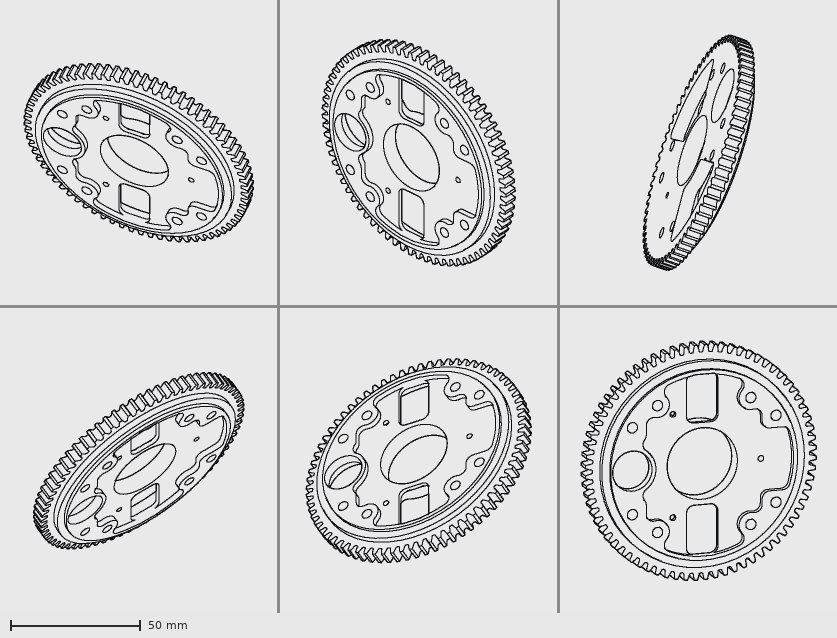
import cadquery as cq
import math

overall_width = 93.9
gear_thickness = 5.5
flange_thickness = 2.5
lip_thickness = 1.4
flange_radius = 41.2
lip_radius = 38.0

tooth_count = 72
pressure_angle = math.radians(14.5)
dedendum_in_modules = 1.2
root_fillet = 0.6
flank_steps = 3

bore_radius = 14.3
side_hole_x = -29.2
side_hole_radius = 8.0
slot_width = 12.8
slot_inner_z = 16.4
slot_corner_radius = 3.0
pin_circle_radius = 23.9
pin_hole_radius = 1.1
pin_count = 3
bolt_hole_radius = 2.1
inner_bolt = (19.0, 25.4)
outer_bolt = (29.2, 17.4)

pocket_radius = 36.35
pocket_depth = 2.35
pocket_corner_radius = 3.0
bolt_boss_radius = 4.8
side_hole_rim = 1.6
boss_wall_x = 23.6
boss_floor_z = 12.6
rim_corner_z = 10.2

back_depth = 5.4
hub_radius = slot_inner_z
rim_inner_radius = 39.6
rib_width = 5.1
back_corner_radius = 3.0
counterbore_radius = 10.9

total_thickness = gear_thickness + flange_thickness + lip_thickness
front_y = -total_thickness

half_pitch_angle = math.pi / tooth_count
base_to_pitch = math.cos(pressure_angle)
tip_to_pitch = (tooth_count + 2) / tooth_count


def involute_angle(radius_ratio):
    """Polar angle of an involute at a radius given as a multiple of its base radius."""
    roll = math.sqrt(radius_ratio**2 - 1)
    return roll - math.atan(roll)


def tooth_half_angle(radius_to_pitch):
    """Half the angle one tooth covers at a radius given as a multiple of the pitch radius."""
    ratio = max(radius_to_pitch / base_to_pitch, 1)
    return half_pitch_angle / 2 + involute_angle(1 / base_to_pitch) - involute_angle(ratio)


tip_corner_angle = half_pitch_angle - tooth_half_angle(tip_to_pitch)
tip_radius = overall_width / 2 / math.cos(tip_corner_angle)
pitch_radius = tip_radius / tip_to_pitch
module = 2 * pitch_radius / tooth_count
root_radius = pitch_radius - dedendum_in_modules * module
base_radius = pitch_radius * base_to_pitch


def polar(radius, angle):
    return (radius * math.cos(angle), radius * math.sin(angle))


def toward(start, end, distance):
    """Point at a distance from start in the direction of end."""
    length = math.dist(start, end)
    return tuple(s + (e - s) * distance / length for s, e in zip(start, end))


def arc_to(path, centre, start, end):
    """Add the shorter arc about centre from start to end."""
    radius = math.dist(centre, start)
    chord_middle = ((start[0] + end[0]) / 2, (start[1] + end[1]) / 2)
    return path.threePointArc(toward(centre, chord_middle, radius), end)


def extrude_back(path, y, depth):
    """Extrude an XZ outline from the plane at y toward +Y."""
    return path.extrude(-depth).translate((0, y, 0))


def disc(radius, y, depth, x=0, z=0):
    return extrude_back(cq.Workplane("XZ").center(x, z).circle(radius), y, depth)


def through_hole(radius, x=0, z=0):
    return disc(radius, front_y, total_thickness, x, z)


def gear_ring():
    fillet_reach = root_radius + root_fillet
    centre_distance = math.sqrt(fillet_reach**2 - base_radius**2)
    start_distance = centre_distance - root_fillet
    flank_start = math.hypot(base_radius, start_distance)
    fillet_angle = math.atan(centre_distance / base_radius) - math.atan(start_distance / base_radius)
    start_half_angle = tooth_half_angle(flank_start / pitch_radius)
    flank_radii = [
        flank_start + (tip_radius - flank_start) * step / flank_steps for step in range(flank_steps + 1)
    ]
    first_floor_angle = half_pitch_angle - start_half_angle - fillet_angle
    path = cq.Workplane("XZ").moveTo(*polar(root_radius, first_floor_angle))
    for tooth in range(tooth_count):
        middle = (2 * tooth + 1) * half_pitch_angle
        rising = [polar(r, middle - tooth_half_angle(r / pitch_radius)) for r in flank_radii]
        falling = [polar(r, middle + tooth_half_angle(r / pitch_radius)) for r in reversed(flank_radii)]
        floor_half_angle = start_half_angle + fillet_angle
        next_gap = middle + half_pitch_angle
        rising_fillet = polar(fillet_reach, middle - floor_half_angle)
        falling_fillet = polar(fillet_reach, middle + floor_half_angle)
        floor_start = polar(root_radius, middle + floor_half_angle)
        floor_end = polar(root_radius, next_gap + half_pitch_angle - floor_half_angle)

        path = arc_to(path, rising_fillet, polar(root_radius, middle - floor_half_angle), rising[0])
        path = path.spline(rising[1:], includeCurrent=True)
        path = path.threePointArc(polar(tip_radius, middle), falling[0])
        path = path.spline(falling[1:], includeCurrent=True)
        path = arc_to(path, falling_fillet, falling[-1], floor_start)
        path = path.threePointArc(polar(root_radius, next_gap), floor_end)
    return extrude_back(path.close(), -gear_thickness, gear_thickness)


def pocket():
    """Front pocket: the upper half of its outline, mirrored below the X axis."""
    r = pocket_corner_radius
    origin = (0, 0)
    side_hole = (side_hole_x, 0)
    rim_radius = side_hole_radius + side_hole_rim
    corner_reach = pocket_radius - r
    boss_reach = bolt_boss_radius + r

    right_z = boss_floor_z - r
    right_corner = (math.sqrt(corner_reach**2 - right_z**2), right_z)
    boss_corner = (boss_wall_x + r, boss_floor_z + r)
    inside_x = boss_wall_x - r
    inside_z = inner_bolt[1] - math.sqrt(boss_reach**2 - (inside_x - inner_bolt[0]) ** 2)
    inside_corner = (inside_x, inside_z)
    bolt_distance = math.hypot(*inner_bolt)
    cosine = (corner_reach**2 + bolt_distance**2 - boss_reach**2) / (2 * corner_reach * bolt_distance)
    top_corner = polar(corner_reach, math.atan2(inner_bolt[1], inner_bolt[0]) + math.acos(cosine))
    rim_corner = (side_hole_x + math.sqrt((rim_radius + r) ** 2 - rim_corner_z**2), rim_corner_z)
    left_x = -boss_wall_x - r
    left_boss_corner = (left_x, rim_corner_z + math.sqrt((2 * r) ** 2 - (rim_corner[0] - left_x) ** 2))

    def mirrored(point):
        return (-point[0], point[1])

    wall_end = (boss_wall_x, inside_z)
    boss_start = toward(inside_corner, inner_bolt, r)
    boss_end = toward(top_corner, inner_bolt, r)
    top_end = toward(origin, top_corner, pocket_radius)

    right_start = (pocket_radius, 0)
    right_end = toward(origin, right_corner, pocket_radius)
    floor_start = (right_corner[0], boss_floor_z)
    floor_end = (boss_corner[0], boss_floor_z)
    wall_start = (boss_wall_x, boss_corner[1])
    left_wall_end = (-boss_wall_x, left_boss_corner[1])
    rim_round_start = toward(left_boss_corner, rim_corner, r)
    rim_start = toward(side_hole, rim_corner, rim_radius)
    rim_end = (side_hole_x + rim_radius, 0)

    path = cq.Workplane("XZ").moveTo(*right_start)
    path = arc_to(path, origin, right_start, right_end)
    path = arc_to(path, right_corner, right_end, floor_start).lineTo(*floor_end)
    path = arc_to(path, boss_corner, floor_end, wall_start).lineTo(*wall_end)
    path = arc_to(path, inside_corner, wall_end, boss_start)
    path = arc_to(path, inner_bolt, boss_start, boss_end)
    path = arc_to(path, top_corner, boss_end, top_end)
    path = arc_to(path, origin, top_end, mirrored(top_end))
    path = arc_to(path, mirrored(top_corner), mirrored(top_end), mirrored(boss_end))
    path = arc_to(path, mirrored(inner_bolt), mirrored(boss_end), mirrored(boss_start))
    path = arc_to(path, mirrored(inside_corner), mirrored(boss_start), mirrored(wall_end))
    path = path.lineTo(*left_wall_end)
    path = arc_to(path, left_boss_corner, left_wall_end, rim_round_start)
    path = arc_to(path, rim_corner, rim_round_start, rim_start)
    path = arc_to(path, side_hole, rim_start, rim_end)
    upper = extrude_back(path.close(), front_y, pocket_depth)
    return upper.union(upper.mirror("XY"))


def slot(side):
    """Rounded rectangular window above (side 1) or below (side -1) the bore."""
    height = pocket_radius - slot_inner_z
    middle_z = side * (pocket_radius + slot_inner_z) / 2
    outline = cq.Workplane("XZ").center(0, middle_z).rect(slot_width, height)
    return extrude_back(outline, front_y, total_thickness).edges("|Y").fillet(slot_corner_radius)


def window_pocket(side):
    """Back pocket between hub and rim, bounded by ribs that run out to the inner bolts."""
    length = math.hypot(*inner_bolt)
    along = (inner_bolt[0] / length, inner_bolt[1] / length)
    apex_z = rib_width / 2 / along[0]
    far_z = rim_inner_radius + apex_z
    far_x = rim_inner_radius * along[0] / along[1]
    wedge = cq.Workplane("XZ").polyline([(0, apex_z), (far_x, far_z), (-far_x, far_z)]).close()
    pocket_body = extrude_back(wedge, -back_depth, back_depth)
    pocket_body = pocket_body.intersect(disc(rim_inner_radius, -back_depth, back_depth))
    pocket_body = pocket_body.cut(disc(hub_radius, -back_depth, back_depth))
    pocket_body = pocket_body.edges("|Y").fillet(back_corner_radius)
    return pocket_body if side > 0 else pocket_body.mirror("XY")


body = gear_ring()
body = body.union(disc(flange_radius, -gear_thickness - flange_thickness, flange_thickness))
body = body.union(disc(lip_radius, front_y, lip_thickness))

body = body.cut(pocket())
body = body.cut(through_hole(bore_radius))
body = body.cut(through_hole(side_hole_radius, side_hole_x))
for side in (1, -1):
    body = body.cut(slot(side)).cut(window_pocket(side))
body = body.cut(disc(counterbore_radius, -back_depth, back_depth, side_hole_x))

for pin in range(pin_count):
    pin_x, pin_z = polar(pin_circle_radius, 2 * math.pi * pin / pin_count)
    body = body.cut(through_hole(pin_hole_radius, pin_x, pin_z))

for bolt_x, bolt_z in (inner_bolt, outer_bolt):
    for x_sign in (1, -1):
        for z_sign in (1, -1):
            body = body.cut(through_hole(bolt_hole_radius, x_sign * bolt_x, z_sign * bolt_z))

result = body